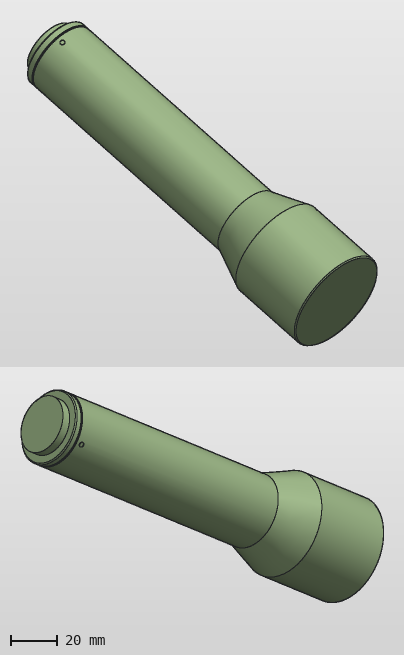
import cadquery as cq

length = 183.0
head_radius = 24.0
body_radius = 16.8
button_radius = 12.8

collar_start = 4.0
groove_start = 7.3
cone_start = 125.9
cone_end = 145.1

collar_chamfer = 0.5
head_chamfer = 0.5
groove_width = 0.5
groove_depth = 0.4

hole_count = 3
hole_radius = 1.1
hole_depth = 0.4
hole_station = 11.0
first_hole_angle = 8.5


def make_body():
    """Revolve the button, collar, barrel, cone and head about X."""
    groove_end = groove_start + groove_width
    groove_radius = body_radius - groove_depth
    profile = [
        (0, 0),
        (0, button_radius),
        (collar_start, button_radius),
        (collar_start, body_radius - collar_chamfer),
        (collar_start + collar_chamfer, body_radius),
        (groove_start, body_radius),
        (groove_start, groove_radius),
        (groove_end, groove_radius),
        (groove_end, body_radius),
        (cone_start, body_radius),
        (cone_end, head_radius),
        (length - head_chamfer, head_radius),
        (length, head_radius - head_chamfer),
        (length, 0),
    ]
    return cq.Workplane("XY").polyline(profile).close().revolve(360, (0, 0, 0), (1, 0, 0))


def make_hole(angle):
    """Cutter for one blind radial hole, turned about X from +Z toward -Y."""
    cutter = (
        cq.Workplane("XY", origin=(hole_station, 0, body_radius - hole_depth))
        .circle(hole_radius)
        .extrude(2 * hole_depth)
    )
    return cutter.rotate((0, 0, 0), (1, 0, 0), angle)


result = make_body()
for index in range(hole_count):
    result = result.cut(make_hole(first_hole_angle + index * 360 / hole_count))